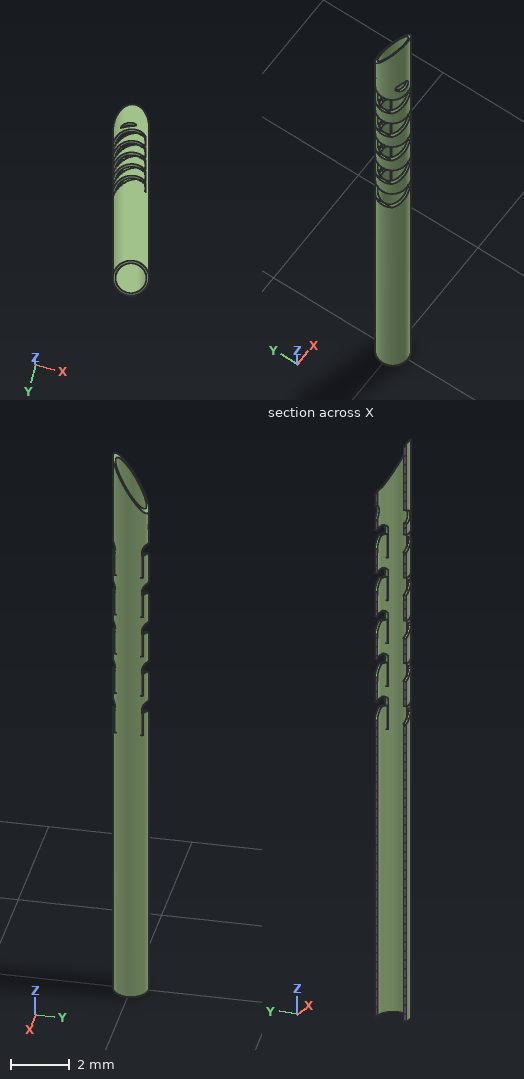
import cadquery as cq
import math

outer_diameter = 1.24
inner_diameter = 1.05
tube_length = 21.09
outer_radius = outer_diameter / 2
cut_width = 2 * outer_diameter

bevel_angle = 30.0
bevel_drop = outer_diameter / math.tan(math.radians(bevel_angle))

hole_diameter = 0.48
hole_x = -0.215
hole_z = tube_length - 2.74

slot_count = 5
slot_pitch = 1.56
first_slot_z = tube_length - 3.46
slot_end_x = 0.40
slot_roof_rise = 0.13
slot_corner_radius = 0.18
slot_mouth = 0.89
barb_angle = 44.0
barb_root_x = -0.53
barb_tip_x = 0.16
slit_width = 0.03
slit_depth = 1.09


def make_tube():
    return cq.Workplane("XY").circle(outer_radius).circle(inner_diameter / 2).extrude(tube_length)


def make_bevel_cutter():
    """Wedge that removes everything above the inclined tip plane."""
    slope = bevel_drop / outer_diameter
    overhang = cut_width - outer_radius
    low_z = tube_length - bevel_drop - slope * overhang
    return (
        cq.Workplane("YZ")
        .moveTo(-outer_radius, tube_length)
        .lineTo(cut_width, low_z)
        .lineTo(cut_width, tube_length)
        .close()
        .extrude(cut_width, both=True)
    )


def make_cross_hole():
    return (
        cq.Workplane("XZ")
        .center(hole_x, hole_z)
        .circle(hole_diameter / 2)
        .extrude(cut_width, both=True)
    )


def make_slot(slot_z):
    """Hooked slot through the tube along Y, with a thin slit running down from its closed end."""
    roof_z = slot_z + slot_roof_rise
    mouth_z = slot_z - slot_mouth
    barb_tip_z = mouth_z + (barb_tip_x - barb_root_x) * math.tan(math.radians(barb_angle))
    slit_inner_x = slot_end_x - slit_width
    slit_z = slot_z - slit_depth
    corner_x = slot_end_x - slot_corner_radius
    return (
        cq.Workplane("XZ")
        .moveTo(-cut_width, slot_z)
        .lineTo(-outer_radius, slot_z)
        .lineTo(corner_x, roof_z)
        .radiusArc((slot_end_x, roof_z - slot_corner_radius), slot_corner_radius)
        .lineTo(slot_end_x, slit_z)
        .lineTo(slit_inner_x, slit_z)
        .lineTo(slit_inner_x, barb_tip_z)
        .lineTo(barb_tip_x, barb_tip_z)
        .lineTo(barb_root_x, mouth_z)
        .lineTo(-cut_width, mouth_z)
        .close()
        .extrude(cut_width, both=True)
    )


result = make_tube().cut(make_bevel_cutter()).cut(make_cross_hole())
for index in range(slot_count):
    result = result.cut(make_slot(first_slot_z - index * slot_pitch))